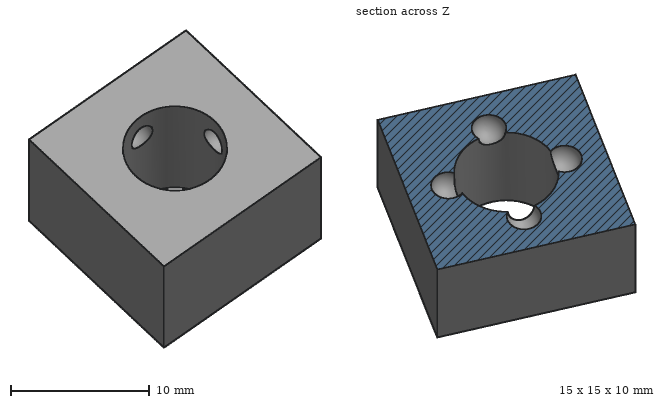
import cadquery as cq

width = 15.0
height = 10.0
bore_diameter = 7.55

dimple_count = 4
dimple_radius = 1.25
dimple_depth = height / 4
dimple_center_radius = bore_diameter / 2 + dimple_radius / 2


def dimple(angle):
    """Ball that breaks through the bore wall at the given angle around the bore."""
    ball = cq.Workplane("XY").sphere(dimple_radius).rotate((0, 0, 0), (0, 1, 0), 90)
    ball = ball.translate((dimple_center_radius, 0, height - dimple_depth))
    return ball.rotate((0, 0, 0), (0, 0, 1), angle)


block = cq.Workplane("XY").box(width, width, height, centered=(True, True, False))
result = block.faces(">Z").workplane().hole(bore_diameter)

for index in range(dimple_count):
    result = result.cut(dimple(index * 360 / dimple_count))